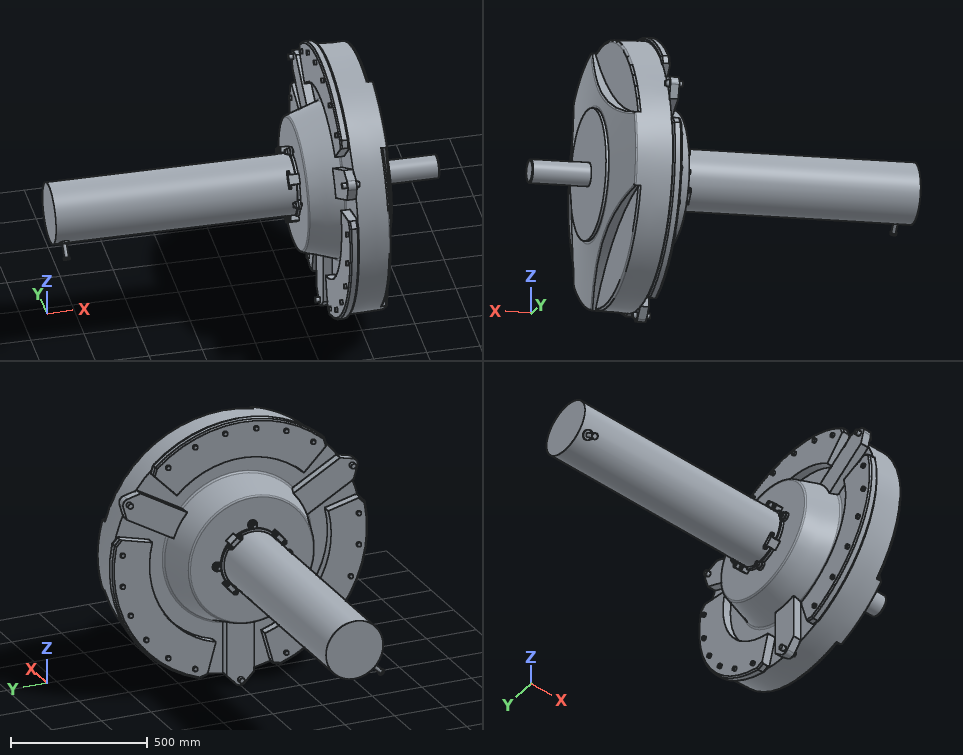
import cadquery as cq
import math


total_length = 1460.0
hub_face_x = 918.0
plate_front_x = 1018.0
plate_thickness = 34.0
disc_face_x = plate_front_x + plate_thickness
scallop_floor_x = 1175.0
rim_back_x = 1191.5
cone_back_x = 1224.5
back_face_x = 1235.0

hub_face_radius = 252.5
hub_base_radius = 294.5
rim_front_radius = 502.0
rim_back_radius = 498.0
cone_back_radius = 254.0
back_face_radius = 245.0
hub_fillet = 7.0
hub_root_fillet = 8.0
rim_edge_fillet = 6.0
scallop_edge_fillet = 8.0

scallop_mid_radius = 298.0
scallop_end_radius = 360.0
scallop_half_chord = 348.0
scallop_angles = (60, 180, 300)

cutter_overshoot = 50.0
margin = 1.0

shaft_diameter = 88.8
shaft_end_diameter = 81.27

tube_diameter = 230.83
stub_x = 38.0
stub_angle = 225
stub_boss_diameter = 38.69
stub_boss_radius = 121.0
stub_diameter = 17.0
stub_head_diameter = 24.0
stub_head_length = 5.0
stub_end_radius = 179.0

collar_diameter = 250.0
collar_length = 10.0
clamp_first_angle = 50
quarter_turn = 90
clamp_angles = [clamp_first_angle + quarter_turn * i for i in range(4)]
clamp_radius = 128.0
clamp_width = 20.0
clamp_span = 68.0
clamp_web_span = 38.0
clamp_height = 41.0
clamp_flange_thickness = 7.0
clamp_hole_diameter = 12.0
stud_angles = [quarter_turn * i for i in range(4)]
stud_radius = 143.0
stud_steps = ((12.0, 5.0), (34.0, 9.0), (24.0, 9.0), (17.0, 8.0))

pad_angles = (90, 210, 330)
pad_inner_radius = 366.0
pad_outer_radius = 514.75
pad_half_angle = 44.4
pad_corner_radius = 499.0
pad_corner_half_angle = 41.4
pad_edge_chamfer = 6.0
screw_circle_radius = 480.0
screw_pitch_angle = 15.0
screws_per_pad = 6
screw_head_diameter = 17.0
screw_head_height = 8.0

arm_angles = (30, 150, 270)
arm_width = 110.0
arm_inner_radius = 279.0
arm_shoulder_radius = 496.0
arm_tip_radius = 542.66
arm_bolt_radius = 518.66
arm_bolt_front_diameter = 20.13
arm_bolt_front_length = 17.0
arm_nut_diameter = 30.0
arm_nut_end_diameter = 17.0
arm_nut_length = 14.0


def polar(radius, angle):
    """Point in the YZ plane at a radius and an angle from +Y towards +Z."""
    a = math.radians(angle)
    return (radius * math.cos(a), radius * math.sin(a))


def plane_at(x):
    """Workplane across the main axis, with local x = Y and local y = Z."""
    return cq.Workplane("YZ", origin=(x, 0, 0))


def turn(body, angle):
    """Copy of a body that lies along +Y, turned about the main axis."""
    return body.rotate((0, 0, 0), (1, 0, 0), angle)


def revolve_profile(points):
    """Solid of revolution about X from (x, radius) points."""
    return cq.Workplane("XY").polyline(points).close().revolve(360, (0, 0, 0), (1, 0, 0))


def round_edge(x, radius):
    """Selector for the round edges about the main axis at a station, up to a radius."""
    return cq.selectors.BoxSelector(
        (x - margin, -radius - margin, -radius - margin),
        (x + margin, radius + margin, radius + margin),
        boundingbox=True,
    )


def housing_shell():
    """Hub cone, rim and back cone, with full rounds and no scallops."""
    shell = revolve_profile([
        (hub_face_x, 0),
        (hub_face_x, hub_face_radius),
        (disc_face_x, hub_base_radius),
        (disc_face_x, rim_front_radius),
        (rim_back_x, rim_back_radius),
        (cone_back_x, cone_back_radius),
        (cone_back_x, back_face_radius),
        (back_face_x, back_face_radius),
        (back_face_x, 0),
    ])
    shell = shell.edges(round_edge(hub_face_x, hub_face_radius)).fillet(hub_fillet)
    return shell.edges(round_edge(disc_face_x, hub_base_radius)).fillet(hub_root_fillet)


def scallop_cutter():
    """Concave-walled cutter on the +Y side that takes away the rim behind the edge round."""
    far = rim_front_radius + cutter_overshoot
    far_half_chord = scallop_half_chord * far / scallop_end_radius
    start_x = scallop_floor_x - scallop_edge_fillet
    return (
        plane_at(start_x)
        .moveTo(scallop_end_radius, -scallop_half_chord)
        .threePointArc((scallop_mid_radius, 0), (scallop_end_radius, scallop_half_chord))
        .lineTo(far, far_half_chord)
        .lineTo(far, -far_half_chord)
        .close()
        .extrude(back_face_x - start_x)
    )


def scallop_floor_drum():
    """Drum that ends at the scallop floor, with its outer edge rounded."""
    taper = (rim_front_radius - rim_back_radius) / (rim_back_x - disc_face_x)
    floor_radius = rim_front_radius - taper * (scallop_floor_x - disc_face_x)
    drum = revolve_profile([
        (disc_face_x, 0),
        (disc_face_x, rim_front_radius),
        (scallop_floor_x, floor_radius),
        (scallop_floor_x, 0),
    ])
    return drum.edges(round_edge(scallop_floor_x, floor_radius)).fillet(scallop_edge_fillet)


def shaft():
    chamfer = (shaft_diameter - shaft_end_diameter) / 2
    return (
        plane_at(back_face_x)
        .circle(shaft_diameter / 2)
        .extrude(total_length - back_face_x)
        .faces(">X")
        .chamfer(chamfer)
    )


def clamp():
    """Two-hole clamp foot standing on the hub face at +Y."""
    web = (
        plane_at(hub_face_x)
        .center(clamp_radius, 0)
        .rect(clamp_width, clamp_web_span)
        .extrude(-clamp_height)
    )
    flange = (
        plane_at(hub_face_x - clamp_height)
        .center(clamp_radius, 0)
        .slot2D(clamp_span, clamp_width, 90)
        .extrude(clamp_flange_thickness)
    )
    hole_offset = (clamp_span - clamp_width) / 2
    holes = (
        plane_at(hub_face_x - clamp_height)
        .pushPoints([(clamp_radius, -hole_offset), (clamp_radius, hole_offset)])
        .circle(clamp_hole_diameter / 2)
        .extrude(clamp_flange_thickness)
    )
    return web.union(flange.cut(holes))


def stud():
    """Stepped stud standing on the hub face at +Y."""
    body = cq.Workplane()
    base_x = hub_face_x
    for diameter, length in stud_steps:
        body = body.add(plane_at(base_x).center(stud_radius, 0).circle(diameter / 2).extrude(-length))
        base_x -= length
    return body.combine()


housing = housing_shell()
for angle in scallop_angles:
    housing = housing.cut(turn(scallop_cutter(), angle))
rim_back_edges = cq.selectors.BoxSelector(
    (rim_back_x - margin, -rim_front_radius, -rim_front_radius),
    (cone_back_x - margin, rim_front_radius, rim_front_radius))
housing = housing.edges(rim_back_edges).edges("not %LINE").fillet(rim_edge_fillet)
housing = housing.union(scallop_floor_drum())
housing = housing.union(shaft())
housing = housing.union(
    plane_at(hub_face_x)
    .circle(collar_diameter / 2)
    .circle(tube_diameter / 2)
    .extrude(-collar_length)
)
for angle in clamp_angles:
    housing = housing.union(turn(clamp(), angle))
for angle in stud_angles:
    housing = housing.union(turn(stud(), angle))


def drain_stub():
    """Boss, stub and end head pointing along +Y."""
    sections = (
        (stub_boss_diameter, stub_boss_radius),
        (stub_diameter, stub_end_radius),
    )
    across = cq.Workplane("XZ", origin=(stub_x, 0, 0))
    body = cq.Workplane()
    for diameter, end in sections:
        body = body.add(across.circle(diameter / 2).extrude(-end))
    head = (
        across.workplane(offset=-stub_end_radius)
        .circle(stub_head_diameter / 2)
        .extrude(stub_head_length)
    )
    return body.add(head).combine()


tube = plane_at(0).circle(tube_diameter / 2).extrude(hub_face_x)
tube = tube.union(turn(drain_stub(), stub_angle))


def pad():
    """Ring segment centred on +Y, with its row of screw heads."""
    inner, corner, outer = pad_inner_radius, pad_corner_radius, pad_outer_radius
    half, tip = pad_half_angle, pad_corner_half_angle
    plate = (
        plane_at(plate_front_x)
        .moveTo(*polar(inner, -half))
        .lineTo(*polar(corner, -half))
        .lineTo(*polar(outer, -tip))
        .threePointArc(polar(outer, 0), polar(outer, tip))
        .lineTo(*polar(corner, half))
        .lineTo(*polar(inner, half))
        .threePointArc(polar(inner, 0), polar(inner, -half))
        .close()
        .extrude(plate_thickness)
    )
    edge_zone_y = polar(corner, half)[0]
    front_edges = cq.selectors.BoxSelector(
        (plate_front_x - margin, edge_zone_y, -outer), (plate_front_x + margin, outer, outer))
    back_edges = cq.selectors.BoxSelector(
        (disc_face_x - margin, edge_zone_y, -outer), (disc_face_x + margin, outer, outer))
    plate = plate.edges(front_edges + back_edges).chamfer(pad_edge_chamfer)
    first = -screw_pitch_angle * (screws_per_pad - 1) / 2
    screw_points = [polar(screw_circle_radius, first + screw_pitch_angle * i) for i in range(screws_per_pad)]
    screws = (
        plane_at(plate_front_x)
        .pushPoints(screw_points)
        .circle(screw_head_diameter / 2)
        .extrude(-screw_head_height)
    )
    return plate.union(screws)


pads = [turn(pad(), angle) for angle in pad_angles]


def arm():
    """Bar along +Y with a rounded lug and its bolt; the inner end follows the hub cone."""
    half = arm_width / 2
    lug_radius = arm_tip_radius - arm_bolt_radius
    reach = arm_shoulder_radius - arm_bolt_radius
    corner_angle = math.degrees(math.atan2(half, reach))
    tangent_angle = corner_angle - math.degrees(math.acos(lug_radius / math.hypot(half, reach)))
    dy, dz = polar(lug_radius, tangent_angle)
    bar = (
        plane_at(plate_front_x)
        .moveTo(arm_inner_radius, -half)
        .lineTo(arm_shoulder_radius, -half)
        .lineTo(arm_bolt_radius + dy, -dz)
        .threePointArc((arm_tip_radius, 0), (arm_bolt_radius + dy, dz))
        .lineTo(arm_shoulder_radius, half)
        .lineTo(arm_inner_radius, half)
        .close()
        .extrude(plate_thickness)
        .cut(housing_shell())
    )
    head = (
        plane_at(plate_front_x)
        .center(arm_bolt_radius, 0)
        .circle(arm_bolt_front_diameter / 2)
        .extrude(-arm_bolt_front_length)
    )
    nut = (
        plane_at(disc_face_x)
        .center(arm_bolt_radius, 0)
        .circle(arm_nut_diameter / 2)
        .workplane(offset=arm_nut_length)
        .circle(arm_nut_end_diameter / 2)
        .loft()
    )
    return bar.union(head).union(nut)


arms = [turn(arm(), angle) for angle in arm_angles]

result = cq.Compound.makeCompound(
    [housing.val(), tube.val()]
    + [body.val() for body in pads]
    + [body.val() for body in arms]
)